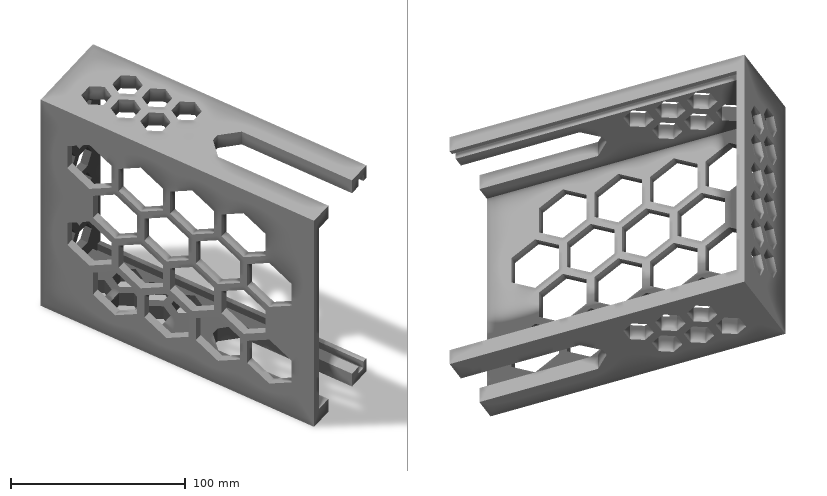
import cadquery as cq
import math

LENGTH = 186.0
WIDTH = 55.0
HEIGHT = 162.0

WALL = 5.0
PLATE_THICKNESS = 10.0

LIP_THICKNESS = 3.0
GROOVE_WIDTH = 5.0
GROOVE_DEPTH = 5.0

LARGE_HEX_FLATS = 30.0
LARGE_HEX_PITCH = 35.0
LARGE_HEX_ROW_SPACING = 30.1
SMALL_HEX_FLATS = 15.0
SMALL_HEX_PITCH = 20.0
SMALL_HEX_ROW_SPACING = 17.3

FRONT_HEX_GRID = (4, 4)
PLATE_HEX_GRID = (3, 2)
END_HEX_GRID = (6, 2)

CORNERS_ALONG_V = 30
CORNERS_ALONG_U = 0

FRONT_HEX_X = 33.1
FRONT_HEX_Z = 126.1
PLATE_HEX_X = 25.0
PLATE_HEX_Y = 20.0
END_HEX_Y = 37.4
END_HEX_Z = 26.8

SLOT_START_X = 101.0
SLOT_WIDTH = 25.0
SLOT_CHAMFER = 10.0


def hex_centers(start_along, start_across, pitch, row_offset, grid):
    """Centres of staggered rows; every odd row is shifted by half a pitch."""
    per_row, rows = grid
    centers = []
    for row in range(rows):
        shift = pitch / 2 if row % 2 else 0
        for column in range(per_row):
            along = start_along + shift + column * pitch
            across = start_across + row * row_offset
            centers.append((along, across))
    return centers


def hexagon_prisms(plane, centers, flats, depth, rotation=CORNERS_ALONG_V):
    """Hexagonal cutters extruded from the given plane."""
    radius = flats / math.sqrt(3)
    corners = []
    for corner in range(6):
        angle = math.radians(rotation + 60 * corner)
        corners.append((radius * math.cos(angle), radius * math.sin(angle)))
    cutters = cq.Workplane(plane)
    for u, v in centers:
        outline = [(u + du, v + dv) for du, dv in corners]
        cutters = cutters.polyline(outline).close()
    return cutters.extrude(depth)


def shell():
    """Box with front, left end, top and bottom walls; open at the back and right."""
    outer = cq.Workplane("XY").box(LENGTH, WIDTH, HEIGHT, centered=False)
    cavity = (
        cq.Workplane("XY")
        .box(LENGTH - WALL, WIDTH - WALL, HEIGHT - 2 * PLATE_THICKNESS, centered=False)
        .translate((WALL, WALL, PLATE_THICKNESS))
    )
    return outer.cut(cavity)


def panel_grooves():
    """Facing grooves for a sliding back panel, entered from the open right side."""
    height = HEIGHT - 2 * (PLATE_THICKNESS - GROOVE_DEPTH)
    return (
        cq.Workplane("XY")
        .box(LENGTH - WALL, GROOVE_WIDTH, height, centered=False)
        .translate((WALL, WIDTH - LIP_THICKNESS - GROOVE_WIDTH, PLATE_THICKNESS - GROOVE_DEPTH))
    )


def front_holes():
    """Large hexagons through the front wall, rows stepping down."""
    centers = hex_centers(FRONT_HEX_X, FRONT_HEX_Z, LARGE_HEX_PITCH, -LARGE_HEX_ROW_SPACING, FRONT_HEX_GRID)
    return hexagon_prisms("XZ", centers, LARGE_HEX_FLATS, -WALL)


def plate_holes():
    """Small hexagons through both the top and bottom plates."""
    centers = hex_centers(PLATE_HEX_X, PLATE_HEX_Y, SMALL_HEX_PITCH, SMALL_HEX_ROW_SPACING, PLATE_HEX_GRID)
    return hexagon_prisms("XY", centers, SMALL_HEX_FLATS, HEIGHT)


def end_holes():
    """Small hexagons through the left wall, in two upright rows."""
    rows = hex_centers(END_HEX_Z, END_HEX_Y, SMALL_HEX_PITCH, -SMALL_HEX_ROW_SPACING, END_HEX_GRID)
    centers = [(y, z) for z, y in rows]
    return hexagon_prisms("YZ", centers, SMALL_HEX_FLATS, WALL, rotation=CORNERS_ALONG_U)


def slot():
    """Slot through both plates with a chamfered inner end, open at the right side."""
    low = WIDTH / 2 - SLOT_WIDTH / 2
    high = WIDTH / 2 + SLOT_WIDTH / 2
    straight_x = SLOT_START_X + SLOT_CHAMFER
    return (
        cq.Workplane("XY")
        .moveTo(LENGTH, low)
        .lineTo(straight_x, low)
        .lineTo(SLOT_START_X, low + SLOT_CHAMFER)
        .lineTo(SLOT_START_X, high - SLOT_CHAMFER)
        .lineTo(straight_x, high)
        .lineTo(LENGTH, high)
        .close()
        .extrude(HEIGHT)
    )


result = shell()
for cutter in (panel_grooves(), front_holes(), plate_holes(), end_holes(), slot()):
    result = result.cut(cutter)